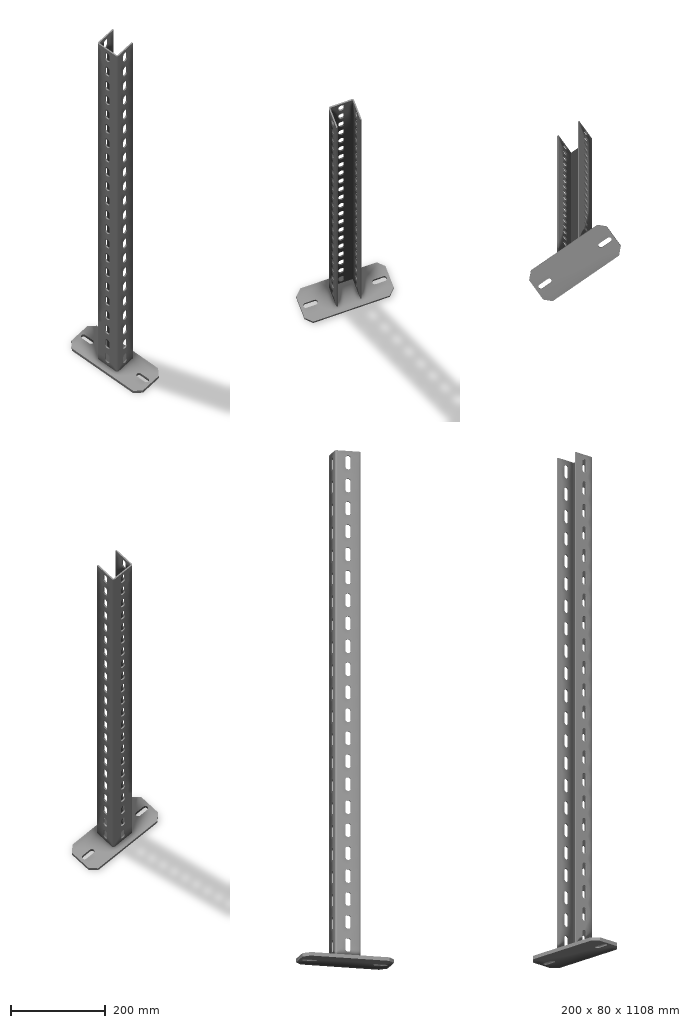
import cadquery as cq

plate_length = 200.0
plate_width = 80.0
plate_thickness = 8.0
plate_corner = 14.0

plate_slot_length = 32.0
plate_slot_width = 11.0
plate_slot_edge_gap = 7.0
plate_slot_offset = plate_length / 2 - plate_slot_edge_gap - plate_slot_length / 2

overall_height = 1108.0
post_height = overall_height - plate_thickness
post_width = 57.0
post_depth = 50.0
post_wall = 3.0
post_outer_radius = 4.0
post_inner_radius = post_outer_radius - post_wall

slot_count = 22
slot_pitch = post_height / slot_count
slot_length = 30.0
slot_width = 12.0
slot_angle = 90
lowest_slot_height = plate_thickness + slot_pitch / 2


def make_base_plate():
    """Flat plate with chamfered corners and two slots along X."""
    plate = (
        cq.Workplane("XY")
        .rect(plate_length, plate_width)
        .extrude(plate_thickness)
        .edges("|Z")
        .chamfer(plate_corner)
    )
    slots = (
        cq.Workplane("XY")
        .pushPoints([(-plate_slot_offset, 0), (plate_slot_offset, 0)])
        .slot2D(plate_slot_length, plate_slot_width)
        .extrude(plate_thickness)
    )
    return plate.cut(slots)


def make_channel():
    """Plain U-channel with rounded bends between the web and the flanges."""
    outside = (
        cq.Workplane("XY", origin=(0, 0, plate_thickness))
        .rect(post_width, post_depth)
        .extrude(post_height)
        .edges("|Z and <Y")
        .fillet(post_outer_radius)
    )
    inside = (
        cq.Workplane("XY", origin=(0, post_wall, plate_thickness))
        .rect(post_width - 2 * post_wall, post_depth)
        .extrude(post_height)
        .edges("|Z and <Y")
        .fillet(post_inner_radius)
    )
    return outside.cut(inside)


def slot_column(plane, depth):
    """Column of upright slot cutters on a vertical plane, centred on that plane."""
    centres = [(0, lowest_slot_height + i * slot_pitch) for i in range(slot_count)]
    return (
        cq.Workplane(plane)
        .pushPoints(centres)
        .slot2D(slot_length, slot_width, slot_angle)
        .extrude(depth / 2, both=True)
    )


def make_post():
    """Channel with its web and both flanges slotted."""
    flange_slots = slot_column("YZ", post_width)
    web_slots = slot_column("XZ", post_depth)
    return make_channel().cut(flange_slots).cut(web_slots)


base_plate = make_base_plate()
post = make_post()

result = cq.Compound.makeCompound([base_plate.val(), post.val()])